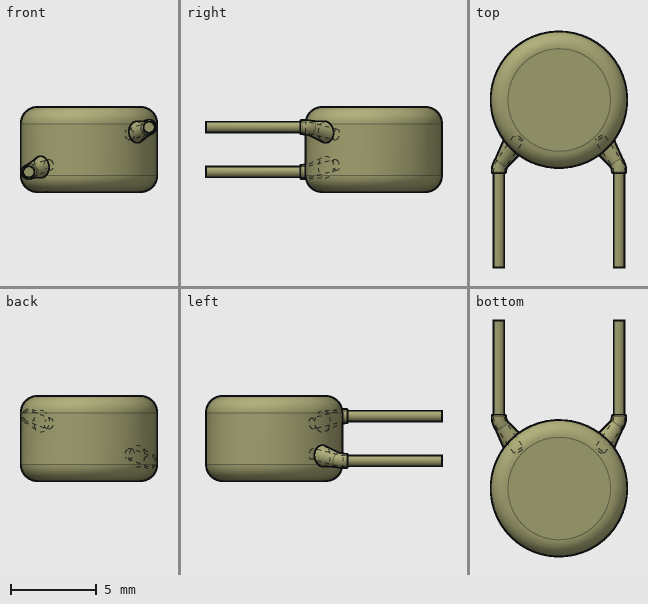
import cadquery as cq
import math


disc_diameter = 8.0
disc_height = 5.0
disc_edge_radius = 1.0

lead_pitch = 7.5
lead_diameter = 0.65
lead_height = 1.31
overall_length = 13.82
lead_tip_y = disc_diameter / 2 - overall_length

sleeve_diameter = 0.86
sleeve_mouth_y = -4.3
sleeve_mouth_fillet = 0.1
bend_radius = 0.9
bend_angle = 36.0
cone_half_angle = 10.5
inner_run = 1.8

lead_x = lead_pitch / 2
tilt_angle = math.degrees(math.asin(lead_height / lead_x))
lead_turns = (-tilt_angle, 180 - tilt_angle)

bend_start = cq.Vector(lead_x, sleeve_mouth_y + sleeve_mouth_fillet, 0)
bend_centre = bend_start - cq.Vector(bend_radius, 0, 0)
bend_radians = math.radians(bend_angle)
bend_end = bend_centre + cq.Vector(math.cos(bend_radians), math.sin(bend_radians), 0) * bend_radius
inner_direction = cq.Vector(-math.sin(bend_radians), math.cos(bend_radians), 0)


def straight_bar(diameter, start_y, end_y):
    """Straight round bar along Y on the lead axis."""
    return (
        cq.Workplane("XZ", origin=(lead_x, start_y, 0))
        .circle(diameter / 2)
        .extrude(start_y - end_y)
    )


def round_bend(diameter):
    """Round elbow that turns the lead axis in toward the disc."""
    return (
        cq.Workplane("XZ", origin=bend_start.toTuple())
        .circle(diameter / 2)
        .revolve(bend_angle, (-bend_radius, 0, 0), (-bend_radius, 1, 0))
    )


def inner_piece(diameter, half_angle):
    """Straight length from the bend into the disc: a cone, or a cylinder when the half angle is zero."""
    start_radius = diameter / 2
    if half_angle == 0:
        return cq.Workplane(cq.Solid.makeCylinder(start_radius, inner_run, bend_end, inner_direction))
    end_radius = start_radius + inner_run * math.tan(math.radians(half_angle))
    return cq.Workplane(cq.Solid.makeCone(start_radius, end_radius, inner_run, bend_end, inner_direction))


def sleeve_mouth():
    """Rounded rim where the sleeve ends and the bare lead comes out."""
    rim_radius = sleeve_diameter / 2
    flat_radius = rim_radius - sleeve_mouth_fillet
    return (
        cq.Workplane("XY", origin=bend_start.toTuple())
        .lineTo(rim_radius, 0)
        .radiusArc((flat_radius, -sleeve_mouth_fillet), sleeve_mouth_fillet)
        .lineTo(0, -sleeve_mouth_fillet)
        .close()
        .revolve(360, (0, 0, 0), (0, 1, 0))
    )


def turn_into_place(shape, turn):
    return shape.rotate((0, 0, 0), (0, 1, 0), turn)


def make_sleeve(turn):
    """Cone, elbow and rounded mouth of the coating around one lead."""
    cone = inner_piece(sleeve_diameter, cone_half_angle)
    sleeve = sleeve_mouth().union(round_bend(sleeve_diameter)).union(cone)
    return turn_into_place(sleeve, turn)


def make_lead(turn):
    """Round wire: straight outside, bent inside the sleeve, ending within the disc."""
    straight = straight_bar(lead_diameter, bend_start.y, lead_tip_y)
    lead = straight.union(round_bend(lead_diameter)).union(inner_piece(lead_diameter, 0))
    return turn_into_place(lead, turn)


def make_coating(leads):
    """Rounded disc and both sleeves in one body, with a matching hole for each lead."""
    coating = cq.Workplane("XY").cylinder(disc_height, disc_diameter / 2)
    coating = coating.faces("<Z or >Z").edges().fillet(disc_edge_radius)
    for turn in lead_turns:
        coating = coating.union(make_sleeve(turn))
    for lead in leads:
        coating = coating.cut(lead)
    return coating


leads = [make_lead(turn) for turn in lead_turns]
coating = make_coating(leads)

result = cq.Compound.makeCompound([coating.val(), *[lead.val() for lead in leads]])